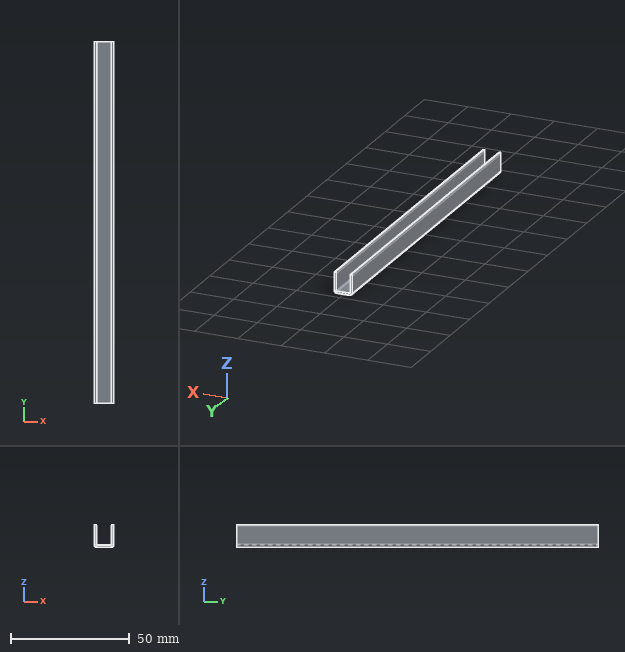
import cadquery as cq

length = 152.4
width = 8.4
height = 9.6

wall = 1.04
bottom_radius = 1.43
inner_radius = bottom_radius - wall
lip_radius = wall / 2

inner_width = width - 2 * wall
floor_bottom = -height / 2
floor_top = floor_bottom + wall
lip_crest = height / 2
lip_base = lip_crest - lip_radius


def block(size_x, bottom, top):
    """Full-length bar centred on X and Y between two heights."""
    return (
        cq.Workplane("XY")
        .workplane(offset=bottom)
        .rect(size_x, length)
        .extrude(top - bottom)
    )


def channel_body():
    """U-shaped channel with rounded bends, up to the base of the lips."""
    outside = block(width, floor_bottom, lip_base).edges("|Y and <Z").fillet(bottom_radius)
    inside = block(inner_width, floor_top, lip_base).edges("|Y and <Z").fillet(inner_radius)
    return outside.cut(inside)


def rounded_lip(side):
    """Half-round top of the wall on the given side, -1 or +1 along X."""
    centre_x = side * (width - wall) / 2
    return (
        cq.Workplane("XZ")
        .moveTo(centre_x - lip_radius, lip_base)
        .threePointArc((centre_x, lip_crest), (centre_x + lip_radius, lip_base))
        .close()
        .extrude(length / 2, both=True)
    )


result = channel_body()
for side in (-1, 1):
    result = result.union(rounded_lip(side))
result = result.clean()